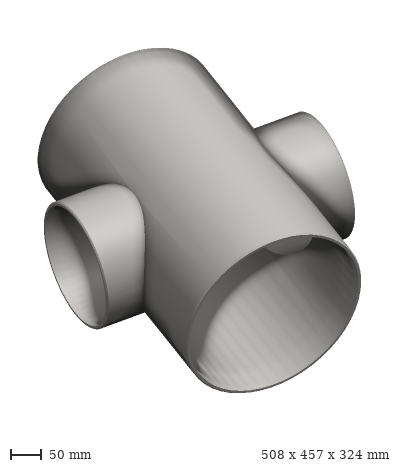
import cadquery as cq

run_length = 508.0
run_outer_diameter = 324.0
run_wall = 6.5

branch_span = 457.0
branch_outer_diameter = 219.0
branch_wall = 6.0

bevel_depth = 2.0
bevel_length = 2.5


def centred_cylinder(plane, diameter, length):
    """Solid cylinder centred on the origin, along the plane's normal."""
    return cq.Workplane(plane).circle(diameter / 2).extrude(length / 2, both=True)


def bevelled_bar(plane, diameter, length):
    """Solid cylinder with both end edges bevelled."""
    bar = centred_cylinder(plane, diameter, length)
    return bar.edges("%CIRCLE").chamfer(bevel_length, bevel_depth)


run = bevelled_bar("YZ", run_outer_diameter, run_length)
branches = bevelled_bar("XZ", branch_outer_diameter, branch_span)
run_bore = centred_cylinder("YZ", run_outer_diameter - 2 * run_wall, run_length)
branch_bore = centred_cylinder("XZ", branch_outer_diameter - 2 * branch_wall, branch_span)

result = run.union(branches).cut(run_bore).cut(branch_bore)